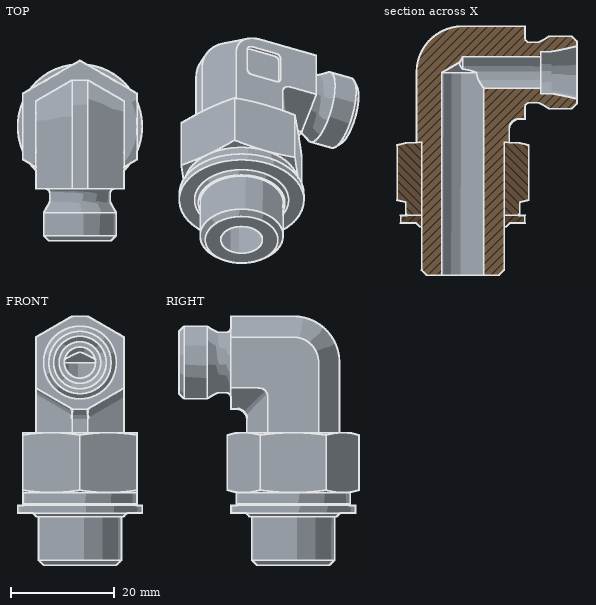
import cadquery as cq
import math

total_height = 47.95
block_across_flats = 16.97
block_across_points = 17.9
leg_axis_z = total_height - block_across_points / 2
leg_face_y = -12.0
inner_corner_radius = 2.0

stud_diameter = 16.0
stud_chamfer = 1.0
stud_bore_diameter = 8.0

spigot_end_y = -22.0
spigot_diameter = 14.0
spigot_chamfer = 1.0
neck_diameter = 11.7
neck_end_y = -14.6
neck_root_diameter = 13.43
neck_root_radius = (neck_root_diameter - neck_diameter) / 2
neck_blend_radius = 1.0
neck_cone_angle = 30.0
mouth_diameter = 10.1
socket_diameter = 8.0
socket_depth = 7.0
seat_half_angle = 12.0
leg_bore_diameter = 6.0
drill_tip_angle = 120.0

badge_size = 7.0
badge_corner_radius = 1.0
badge_depth = 0.8
badge_center_y = -0.95
badge_center_z = 38.0

washer_diameter = 24.0
washer_bottom_z = 10.0
washer_top_z = 11.5
lip_tip_diameter = 16.7
lip_height = 0.7

nut_across_flats = 22.0
nut_hex_bottom_z = 14.0
nut_top_z = 25.5
nut_chamfer_angle = 15.0
collar_edge_chamfer = 0.3


def tangent(degrees):
    return math.tan(math.radians(degrees))


def drill(diameter, length):
    """Drill along +Z from the origin; the full diameter is `length` long, then the tip follows."""
    radius = diameter / 2
    tip_height = radius / tangent(drill_tip_angle / 2)
    return (
        cq.Workplane("XZ")
        .polyline([(0, 0), (radius, 0), (radius, length), (0, length + tip_height)])
        .close()
        .revolve(360, (0, 0), (0, 1))
    )


def along_leg(tool, start_y):
    """Turn a tool made along +Z so that it runs along +Y on the leg axis, from start_y."""
    return tool.rotate((0, 0, 0), (1, 0, 0), -90).translate((0, start_y, leg_axis_z))


def half_block_outline():
    """Half of the bar section, from the middle line out to one cut point."""
    half_width = block_across_flats / 2
    half_depth = block_across_points / 2
    shoulder = half_width * tangent(30)
    flat_half_width = half_width - (half_depth - shoulder) / tangent(30)
    return [
        (-half_width, 0),
        (-half_width, shoulder),
        (-flat_half_width, half_depth),
        (flat_half_width, half_depth),
        (half_width, shoulder),
        (half_width, 0),
    ]


def block_bar(length):
    """Bar along +Z with the full block section."""
    upper = half_block_outline()
    lower = [(-x, -y) for x, y in upper[1:-1]]
    return cq.Workplane("XY").polyline(upper + lower).close().extrude(length)


def make_block():
    stem = block_bar(leg_axis_z - nut_top_z).translate((0, 0, nut_top_z))
    leg = along_leg(block_bar(-leg_face_y), leg_face_y)
    bend = (
        cq.Workplane("XY", origin=(0, 0, leg_axis_z))
        .polyline(half_block_outline())
        .close()
        .revolve(90, (0, 0), (1, 0))
    )
    block = stem.union(leg).union(bend)
    selection_margin = 0.5
    reach = block_across_points / 2 + selection_margin
    near = block_across_points / 3
    inner_corner = cq.selectors.BoxSelector(
        (-block_across_flats, -reach, leg_axis_z - reach),
        (block_across_flats, -near, leg_axis_z - near),
    )
    return block.edges(inner_corner).fillet(inner_corner_radius)


def make_stud():
    return (
        cq.Workplane("XY")
        .circle(stud_diameter / 2)
        .extrude(nut_top_z)
        .faces("<Z")
        .chamfer(stud_chamfer)
    )


def make_spigot():
    """Spigot with a relieved neck, made along +Z with its free end at the origin."""
    length = leg_face_y - spigot_end_y
    outer = spigot_diameter / 2
    neck = neck_diameter / 2
    root = neck_root_diameter / 2
    cone_end = neck_end_y - spigot_end_y
    cone_start = cone_end - (outer - neck) / tangent(neck_cone_angle)
    setback = neck_blend_radius * tangent(neck_cone_angle / 2)
    cone_angle = math.radians(neck_cone_angle)
    blend_start = (neck + setback * math.sin(cone_angle), cone_end - setback * math.cos(cone_angle))
    blend_end = (neck, cone_end + setback)
    return (
        cq.Workplane("XZ")
        .moveTo(0, 0)
        .lineTo(outer - spigot_chamfer, 0)
        .lineTo(outer, spigot_chamfer)
        .lineTo(outer, cone_start)
        .lineTo(*blend_start)
        .radiusArc(blend_end, neck_blend_radius)
        .lineTo(neck, length - neck_root_radius)
        .radiusArc((root, length), neck_root_radius)
        .lineTo(0, length)
        .close()
        .revolve(360, (0, 0), (0, 1))
    )


def make_tube_socket():
    """Tapered seat and straight tube socket, cut from the free end of the spigot."""
    mouth = mouth_diameter / 2
    socket = socket_diameter / 2
    seat_depth = (mouth - socket) / tangent(seat_half_angle)
    return (
        cq.Workplane("XZ")
        .polyline([(0, 0), (mouth, 0), (socket, seat_depth), (socket, socket_depth), (0, socket_depth)])
        .close()
        .revolve(360, (0, 0), (0, 1))
    )


def make_badge_recess():
    return (
        cq.Workplane("YZ", origin=(-block_across_flats / 2, badge_center_y, badge_center_z))
        .rect(badge_size, badge_size)
        .extrude(badge_depth)
        .edges("|X")
        .fillet(badge_corner_radius)
    )


def make_elbow():
    solid = make_block().union(make_stud()).union(along_leg(make_spigot(), spigot_end_y))
    stud_bore = drill(stud_bore_diameter, leg_axis_z)
    leg_bore = along_leg(drill(leg_bore_diameter, -spigot_end_y), spigot_end_y)
    tube_socket = along_leg(make_tube_socket(), spigot_end_y)
    return solid.cut(stud_bore).cut(leg_bore).cut(tube_socket).cut(make_badge_recess())


def make_lock_nut():
    flat_radius = nut_across_flats / 2
    corner_diameter = nut_across_flats / math.cos(math.radians(30))
    corner_radius = corner_diameter / 2
    corner_drop = (corner_radius - flat_radius) * tangent(nut_chamfer_angle)
    hexagon = (
        cq.Workplane("XY", origin=(0, 0, nut_hex_bottom_z))
        .polygon(6, corner_diameter)
        .extrude(nut_top_z - nut_hex_bottom_z)
        .rotate((0, 0, 0), (0, 0, 1), 30)
    )
    corner_trim = (
        cq.Workplane("XZ")
        .polyline([
            (0, nut_hex_bottom_z),
            (flat_radius, nut_hex_bottom_z),
            (corner_radius, nut_hex_bottom_z + corner_drop),
            (corner_radius, nut_top_z - corner_drop),
            (flat_radius, nut_top_z),
            (0, nut_top_z),
        ])
        .close()
        .revolve(360, (0, 0), (0, 1))
    )
    collar = (
        cq.Workplane("XY", origin=(0, 0, washer_top_z))
        .circle(flat_radius)
        .extrude(nut_hex_bottom_z - washer_top_z)
        .faces("<Z")
        .chamfer(collar_edge_chamfer)
    )
    bore = cq.Workplane("XY").circle(stud_diameter / 2).extrude(total_height)
    return hexagon.intersect(corner_trim).union(collar).cut(bore)


def make_washer():
    """Flat ring with a 45 degree sealing lip below it, closed around the stud."""
    inner = stud_diameter / 2
    outer = washer_diameter / 2
    lip_tip = lip_tip_diameter / 2
    lip_base = lip_tip + lip_height
    lip_tip_z = washer_bottom_z - lip_height
    return (
        cq.Workplane("XZ")
        .polyline([
            (inner, lip_tip_z),
            (lip_tip, lip_tip_z),
            (lip_base, washer_bottom_z),
            (outer, washer_bottom_z),
            (outer, washer_top_z),
            (inner, washer_top_z),
        ])
        .close()
        .revolve(360, (0, 0), (0, 1))
    )


elbow = make_elbow()
lock_nut = make_lock_nut()
washer = make_washer()

result = cq.Compound.makeCompound([elbow.solids().val(), lock_nut.solids().val(), washer.solids().val()])